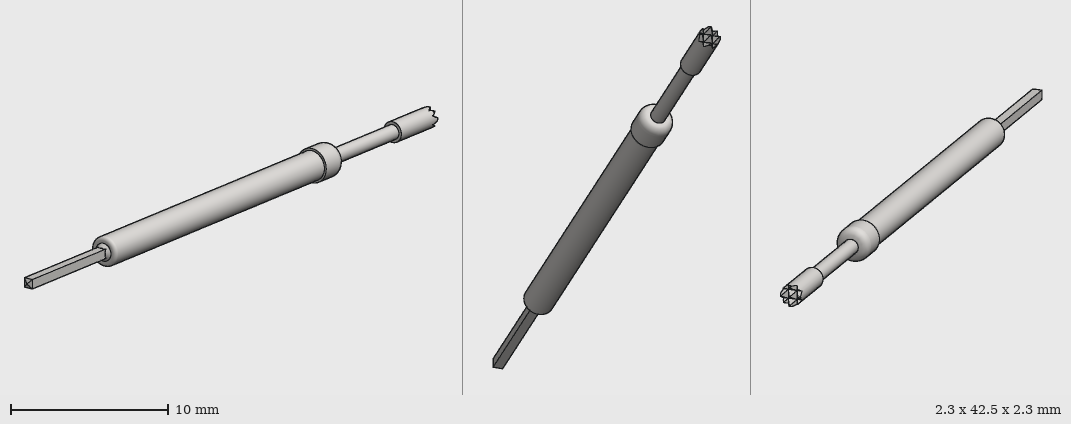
import cadquery as cq


post_width = 0.64
tip_length = 0.15
tip_width = 0.05

barrel_start = 8.05
barrel_diameter = 2.0
barrel_end_round = 0.25
neck_length = 0.25
neck_large_diameter = 1.2
neck_small_diameter = 0.7

collar_start = 30.0
collar_end = 32.0
collar_diameter = 2.3
collar_round = 0.6

plunger_diameter = 1.0
head_length = 4.0
overall_length = 42.5
head_diameter = 1.4
head_start = overall_length - head_length

groove_pitch = 0.6
groove_depth = 0.55
groove_offsets = [groove_pitch * step for step in (-1.5, -0.5, 0.5, 1.5)]


def section_plane(y):
    """Workplane normal to the probe axis, facing +Y."""
    return cq.Workplane(cq.Plane(origin=(0, y, 0), xDir=(1, 0, 0), normal=(0, 1, 0)))


def cylinder(diameter, start, end):
    return section_plane(start).circle(diameter / 2).extrude(end - start)


def make_tail():
    post = section_plane(tip_length).rect(post_width, post_width).extrude(barrel_start - tip_length)
    tip = (
        section_plane(0)
        .rect(tip_width, tip_width)
        .workplane(offset=tip_length)
        .rect(post_width, post_width)
        .loft()
    )
    return post.union(tip)


def make_barrel():
    barrel = cylinder(barrel_diameter, barrel_start, collar_start)
    barrel = barrel.faces("<Y").edges().fillet(barrel_end_round)
    neck = (
        section_plane(barrel_start - neck_length)
        .circle(neck_small_diameter / 2)
        .workplane(offset=neck_length)
        .circle(neck_large_diameter / 2)
        .loft()
    )
    return barrel.union(neck)


def make_collar():
    return cylinder(collar_diameter, collar_start, collar_end).faces(">Y").edges().fillet(collar_round)


def make_groove(offset):
    """Return a V groove along Z at the given X offset, open at the crown end."""
    half_width = groove_pitch / 2
    return (
        cq.Workplane("XY")
        .moveTo(offset - half_width, overall_length)
        .lineTo(offset, overall_length - groove_depth)
        .lineTo(offset + half_width, overall_length)
        .close()
        .extrude(head_diameter, both=True)
    )


def make_plunger():
    shaft = cylinder(plunger_diameter, collar_end, head_start)
    head = cylinder(head_diameter, head_start, overall_length)
    for offset in groove_offsets:
        groove = make_groove(offset)
        head = head.cut(groove)
        head = head.cut(groove.rotate((0, 0, 0), (0, 1, 0), 90))
    return shaft.union(head)


result = make_tail().union(make_barrel()).union(make_collar()).union(make_plunger())